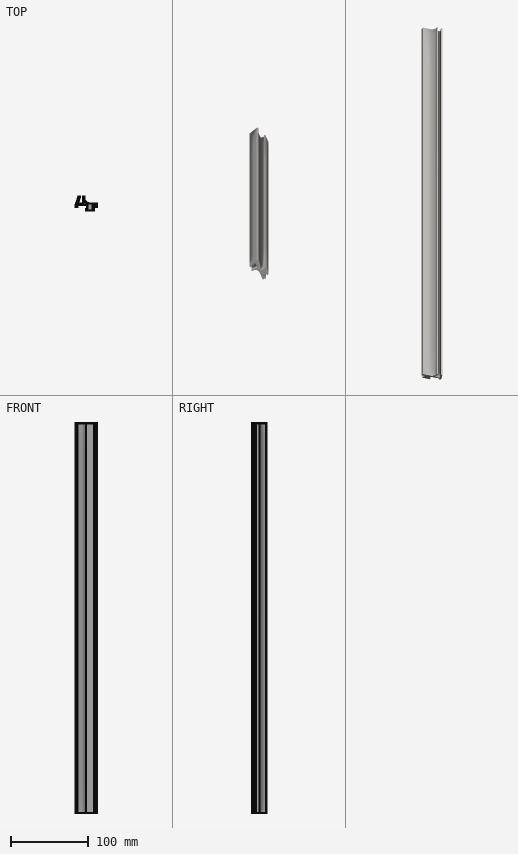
import cadquery as cq

length = 500.0
width = 27.0
depth = 18.0

right = width / 2
left = -right
top = depth / 2
bottom = -top

web_top = 0.5
web_thickness = 2.5
web_bottom = web_top - web_thickness
lip_thickness = 2.0
lip_bottom = -4.0

rail_left = 1.0
rail_right = 8.5
foot_overhang = 1.5
foot_height = 2.0

slanted_thickness = 2.0
slant_lean = 3.5

leg_left = -4.0
leg_thickness = 1.5
leg_root_radius = 6.0


def extrude(profile):
    return profile.close().extrude(length)


def box(x_min, x_max, y_min, y_max):
    """Full-length bar with a rectangular section."""
    section = cq.Workplane("XY").moveTo(x_min, y_min).lineTo(x_max, y_min)
    return extrude(section.lineTo(x_max, y_max).lineTo(x_min, y_max))


def web_with_lips():
    """Web starting inside the slanted leg, which forms its left side, plus the two lips."""
    web = box(left + slanted_thickness / 2, right, web_bottom, web_top)
    left_lip = box(left, left + lip_thickness, lip_bottom, web_bottom)
    right_lip = box(right - lip_thickness, right, lip_bottom, web_top)
    return web.union(left_lip).union(right_lip)


def footed_rail():
    rail = box(rail_left, rail_right, bottom, web_top)
    foot = box(rail_left - foot_overhang, rail_right + foot_overhang, bottom, bottom + foot_height)
    return rail.union(foot)


def slanted_leg():
    """Thin leg that leans inward from the left side of the strip, flush with its lip."""
    return extrude(
        cq.Workplane("XY")
        .moveTo(left, web_bottom)
        .lineTo(left + slanted_thickness, web_bottom)
        .lineTo(left + slanted_thickness + slant_lean, top)
        .lineTo(left + slant_lean, top)
    )


def flared_leg():
    """Upright leg with a concave quarter-round root on its right side."""
    leg_right = leg_left + leg_thickness
    root_end = leg_right + leg_root_radius
    return extrude(
        cq.Workplane("XY")
        .moveTo(leg_left, web_bottom)
        .lineTo(root_end, web_bottom)
        .lineTo(root_end, web_top)
        .radiusArc((leg_right, web_top + leg_root_radius), leg_root_radius)
        .lineTo(leg_right, top)
        .lineTo(leg_left, top)
    )


profile_bar = web_with_lips().union(footed_rail()).union(slanted_leg()).union(flared_leg())
result = profile_bar.translate((0, 0, -length / 2))